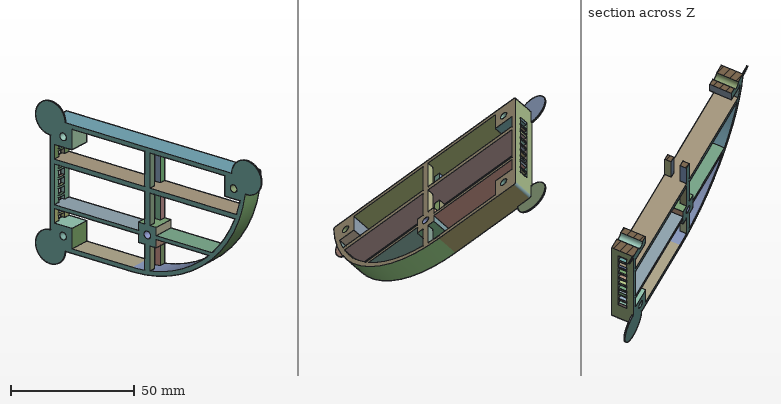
import cadquery as cq
import math

overall_length = 114.7
overall_height = 72.0
frame_depth = 10.0
tab_diameter = 15.0
tab_thickness = 0.6
frame_length = overall_length - tab_diameter
frame_height = overall_height - tab_diameter
arc_radius = 57.7
wall = 2.1
corner_radius = 1.0

upright_x = 49.3
upright_width = 2.8
lower_rib_z = 18.3
lower_rib_width = 1.7
upper_rib_z = 38.3
upper_rib_width = 2.2

boss_reach = 11.1
centre_boss_side = 9.1
screw_hole_diameter = 3.3
screw_hole_inset = 6.5

passage_width = 3.9
passage_y = frame_depth / 2
window_pitch = 4.0
window_bar = 1.0
window_height = window_pitch - window_bar
window_chamfer = 0.6


def box(x_min, x_max, z_min, z_max, y_min=0.0, y_max=frame_depth):
    """Axis-aligned block given by its limits."""
    return cq.Workplane("XY").box(
        x_max - x_min, y_max - y_min, z_max - z_min, centered=False
    ).translate((x_min, y_min, z_min))


def cylinder(x, z, diameter, depth):
    """Round bar that starts on the front face and runs towards +Y."""
    return cq.Workplane("XZ", origin=(x, 0, z)).circle(diameter / 2).extrude(-depth)


def quarter_plate(inset):
    """Rectangle whose lower right side is an arc, shrunk by an inset on all sides."""
    centre_x = frame_length - arc_radius
    centre_z = arc_radius
    radius = arc_radius - inset
    top = frame_height - inset
    end_angle = math.asin((centre_z - top) / radius)
    middle_angle = (end_angle + math.pi / 2) / 2

    def arc_point(angle):
        return centre_x + radius * math.cos(angle), centre_z - radius * math.sin(angle)

    return (
        cq.Workplane("XZ")
        .moveTo(inset, top)
        .lineTo(inset, inset)
        .lineTo(centre_x, inset)
        .threePointArc(arc_point(middle_angle), arc_point(end_angle))
        .close()
        .extrude(-frame_depth)
    )


plate = quarter_plate(0).edges("|Y").edges("<X or >X").fillet(corner_radius)
frame = plate.cut(quarter_plate(wall))

upright_left = upright_x - upright_width / 2
upright_right = upright_x + upright_width / 2
passage_front = passage_y - passage_width / 2
passage_back = passage_y + passage_width / 2
inside = box(upright_left, upright_right, 0, frame_height, 0, passage_front)
inside = inside.union(box(upright_left, upright_right, 0, frame_height, passage_back, frame_depth))

for rib_z, rib_width in ((lower_rib_z, lower_rib_width), (upper_rib_z, upper_rib_width)):
    inside = inside.union(box(0, frame_length, rib_z - rib_width / 2, rib_z + rib_width / 2))

inside = inside.union(box(0, boss_reach, 0, boss_reach))
inside = inside.union(box(0, boss_reach, frame_height - boss_reach, frame_height))
inside = inside.union(
    box(frame_length - boss_reach, frame_length, frame_height - boss_reach, frame_height)
)
half_boss = centre_boss_side / 2
inside = inside.union(
    box(upright_x - half_boss, upright_x + half_boss, lower_rib_z - half_boss, lower_rib_z + half_boss)
)
frame = frame.union(inside.intersect(plate))


def wall_window(bottom, top):
    """Window through the left wall, widened by chamfers along its outer top and bottom edges."""
    profile = [
        (0, bottom - window_chamfer),
        (window_chamfer, bottom),
        (wall, bottom),
        (wall, top),
        (window_chamfer, top),
        (0, top + window_chamfer),
    ]
    return (
        cq.Workplane("XZ", origin=(0, passage_front, 0))
        .polyline(profile)
        .close()
        .extrude(-passage_width)
    )


window_bays = (
    (boss_reach, lower_rib_z - lower_rib_width / 2),
    (lower_rib_z + lower_rib_width / 2, upper_rib_z - upper_rib_width / 2),
    (upper_rib_z + upper_rib_width / 2, frame_height - boss_reach),
)
for bay_bottom, bay_top in window_bays:
    for index in range(math.ceil((bay_top - bay_bottom) / window_pitch)):
        window_top = bay_top - index * window_pitch
        window_bottom = max(window_top - window_height, bay_bottom)
        frame = frame.cut(wall_window(window_bottom, window_top))

for tab_x, tab_z in ((0, 0), (0, frame_height), (frame_length, frame_height)):
    frame = frame.union(cylinder(tab_x, tab_z, tab_diameter, tab_thickness))

screw_holes = (
    (screw_hole_inset, screw_hole_inset),
    (screw_hole_inset, frame_height - screw_hole_inset),
    (frame_length - screw_hole_inset, frame_height - screw_hole_inset),
    (upright_x, lower_rib_z),
)
for hole_x, hole_z in screw_holes:
    frame = frame.cut(cylinder(hole_x, hole_z, screw_hole_diameter, frame_depth))

result = frame